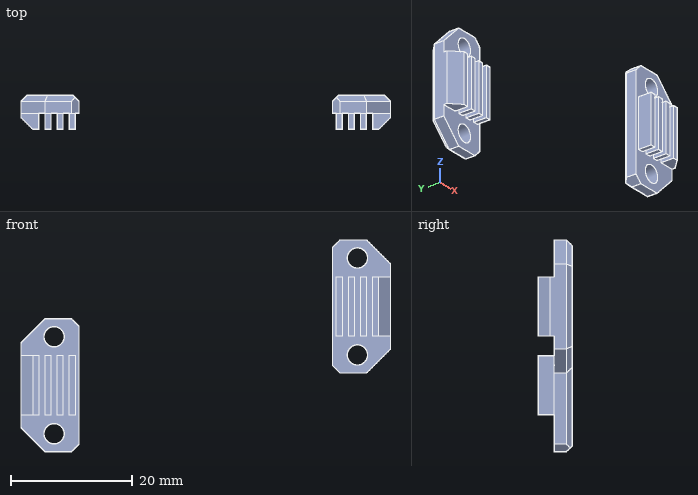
import cadquery as cq

overall_width = 61.04
height_step = 13.0

plate_width = 9.65
plate_height = 22.0
plate_thickness = 3.0
outer_corner_cut = 4.0
inner_corner_cut = 1.3
back_chamfer = 1.0

hole_diameter = 3.3
hole_spacing = 16.0
hole_from_outer_side = 5.5

rib_count = 3
rib_pitch = 2.0
rib_width = 1.0
rib_length = 9.8
rib_height = 2.65
first_rib_from_outer_side = 4.0

end_rib_width = 3.0
end_rib_chamfer = 2.0

half_height = plate_height / 2
rib_tip_y = -rib_height


def make_corner_cutters():
    """Triangular prisms over the two inner corners of the plate."""
    cutters = cq.Workplane("XZ")
    for side in (-1, 1):
        cutters = cutters.polyline(
            [
                (plate_width, side * half_height),
                (plate_width - inner_corner_cut, side * half_height),
                (plate_width, side * (half_height - inner_corner_cut)),
            ]
        ).close()
    return cutters.extrude(-plate_thickness)


def make_plate():
    """Plate with its outer side on X = 0 and its middle on Z = 0."""
    plate = (
        cq.Workplane("XY")
        .box(plate_width, plate_thickness, plate_height, centered=(False, False, True))
        .edges("|Y and <X")
        .chamfer(outer_corner_cut)
        .faces(">Y")
        .chamfer(back_chamfer)
    )
    return plate.cut(make_corner_cutters())


def make_holes():
    """Through holes near the two ends of the plate."""
    return (
        cq.Workplane("XZ")
        .pushPoints([(hole_from_outer_side, side * hole_spacing / 2) for side in (-1, 1)])
        .circle(hole_diameter / 2)
        .extrude(-plate_thickness)
    )


def make_rib(outer_x, width):
    """Rib on the front face of the plate, reaching from outer_x toward the inner side."""
    return cq.Workplane("XY", origin=(outer_x, rib_tip_y, 0)).box(
        width, rib_height, rib_length, centered=(False, False, True)
    )


def make_end_rib():
    """Wide rib flush with the outer side of the plate, its outer tip edge bevelled."""
    return make_rib(0, end_rib_width).edges("|Z and <X and <Y").chamfer(end_rib_chamfer)


def make_clamp():
    """Left-hand clamp, standing on Z = 0."""
    clamp = make_plate().cut(make_holes()).union(make_end_rib())
    for index in range(rib_count):
        clamp = clamp.union(make_rib(first_rib_from_outer_side + index * rib_pitch, rib_width))
    return clamp.translate((0, 0, half_height))


left_clamp = make_clamp()
right_clamp = left_clamp.mirror("YZ").translate((overall_width, 0, height_step))

result = cq.Compound.makeCompound([left_clamp.val(), right_clamp.val()])